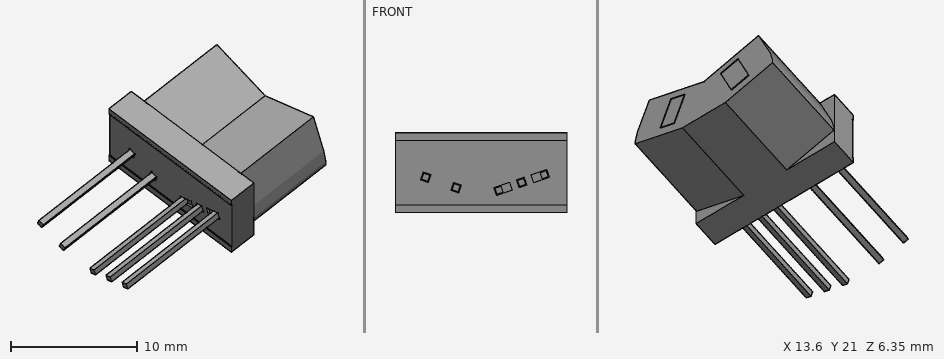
import cadquery as cq
import math

WIDTH = 13.6
HEIGHT = 6.35
LENGTH = 21.0
TILT = 19.0

PLATE_DEPTH = 2.55
RAIL_HEIGHT = 0.63
RAIL_DEPTH = 0.095

BODY_DEPTH = 8.21
BODY_HALF_WIDTH = 6.75
SHOULDER_X = 5.35
KNEE_X = 6.51
KNEE_Z = -0.08
SIDE_TOP_Z = -1.22
SIDE_BOTTOM_Z = -1.58

WINDOW_THICKNESS = 0.06
WINDOW_X = 3.05
WINDOW_Z = -0.2
WINDOW_HEIGHT = 3.2
LEFT_WINDOW_WIDTH = 1.8
RIGHT_WINDOW_WIDTH = 1.43

PIN_SIDE = 0.5
PIN_GROUP_X = 3.2
PIN_GROUP_Z = -0.78
LEFT_PIN_PITCH = 2.55
RIGHT_PIN_PITCH = 1.9
HOLE_SIDE = 0.65
HOLE_DEPTH = 0.19
SLOT_LENGTH = 1.32

WINDOW_END_Y = BODY_DEPTH + WINDOW_THICKNESS
PIN_END_Y = WINDOW_END_Y - LENGTH
RECESS_Y = RAIL_DEPTH - PLATE_DEPTH
HOLE_FLOOR_Y = RECESS_Y + HOLE_DEPTH


def block(length, height, y_start, y_end):
    """Box centred on the Y axis, spanning y_start to y_end."""
    shape = cq.Workplane("XY").box(length, y_end - y_start, height)
    return shape.translate((0, (y_start + y_end) / 2, 0))


def place(shape, side, offset, group_x, group_z):
    """Slide a shape along its tilted row, then move the row to one side (-1 left, 1 right)."""
    leaned = shape.translate((offset, 0, 0)).rotate((0, 0, 0), (0, 1, 0), -side * TILT)
    return leaned.translate((side * group_x, 0, group_z))


def make_plate():
    plate = block(WIDTH, HEIGHT, -PLATE_DEPTH, 0)
    return plate.cut(block(WIDTH, HEIGHT - 2 * RAIL_HEIGHT, -PLATE_DEPTH, RECESS_Y))


def make_body():
    top_z = HEIGHT / 2
    slope = math.tan(math.radians(TILT))
    valley_z = top_z - SHOULDER_X * slope
    foot_x = BODY_HALF_WIDTH - (SIDE_BOTTOM_Z + top_z) / slope
    right_side = [
        (SHOULDER_X, top_z),
        (KNEE_X, KNEE_Z),
        (BODY_HALF_WIDTH, SIDE_TOP_Z),
        (BODY_HALF_WIDTH, SIDE_BOTTOM_Z),
        (foot_x, -top_z),
    ]
    left_side = [(-x, z) for x, z in reversed(right_side)]
    outline = [(0, valley_z)] + right_side + left_side
    return cq.Workplane("XZ").polyline(outline).close().extrude(-BODY_DEPTH)


def make_window(side, width):
    window = block(width, WINDOW_HEIGHT, BODY_DEPTH, WINDOW_END_Y)
    return place(window, side, 0, WINDOW_X, WINDOW_Z)


def make_pin(side, offset):
    pin = block(PIN_SIDE, PIN_SIDE, PIN_END_Y, HOLE_FLOOR_Y)
    return place(pin, side, offset, PIN_GROUP_X, PIN_GROUP_Z)


def make_hole(side, offset, length):
    hole = block(length, HOLE_SIDE, RECESS_Y, HOLE_FLOOR_Y)
    return place(hole, side, offset, PIN_GROUP_X, PIN_GROUP_Z)


SLOT_SHIFT = (SLOT_LENGTH - HOLE_SIDE) / 2
PINS = [
    (-1, -LEFT_PIN_PITCH / 2, HOLE_SIDE, 0),
    (-1, LEFT_PIN_PITCH / 2, HOLE_SIDE, 0),
    (1, -RIGHT_PIN_PITCH, SLOT_LENGTH, SLOT_SHIFT),
    (1, 0, HOLE_SIDE, 0),
    (1, RIGHT_PIN_PITCH, SLOT_LENGTH, -SLOT_SHIFT),
]

result = make_plate().union(make_body())
result = result.union(make_window(-1, LEFT_WINDOW_WIDTH))
result = result.union(make_window(1, RIGHT_WINDOW_WIDTH))
for side, offset, hole_length, hole_shift in PINS:
    result = result.cut(make_hole(side, offset + hole_shift, hole_length))
    result = result.union(make_pin(side, offset))